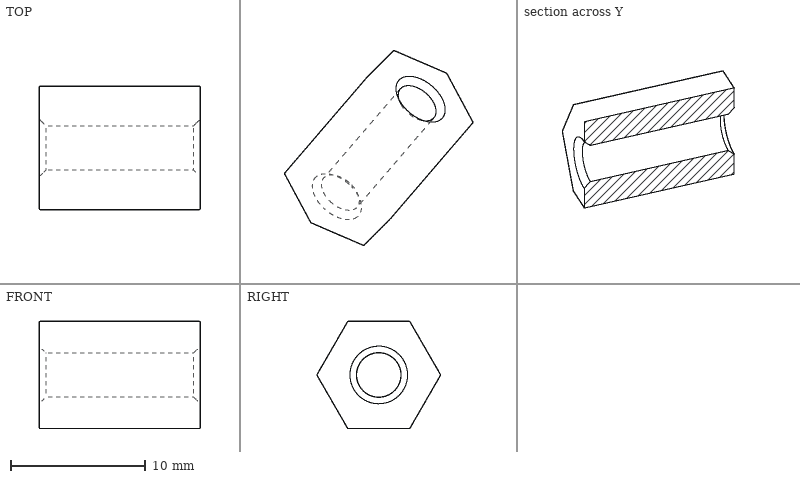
import cadquery as cq
import math

length = 12.0
across_flats = 8.0
edge_radius = 0.1
bore_diameter = 3.3
countersink_diameter = 4.3

countersink_depth = (countersink_diameter - bore_diameter) / 2
across_corners = across_flats / math.cos(math.radians(30))


def rounded_hexagonal_bar():
    """Hexagonal bar along X, with corners on +Y and -Y and every edge rounded."""
    bar = cq.Workplane("YZ").polygon(6, across_corners).extrude(length / 2, both=True)
    return bar.edges().fillet(edge_radius)


def through_bore():
    """Cutter for the bore that runs through the bar along X."""
    return cq.Workplane("YZ").circle(bore_diameter / 2).extrude(length / 2, both=True)


body = rounded_hexagonal_bar().cut(through_bore())

result = body.edges("%CIRCLE").edges(
    cq.selectors.RadiusNthSelector(-1)
).chamfer(countersink_depth)